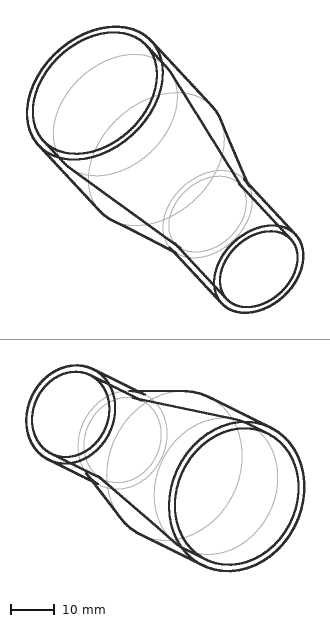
import cadquery as cq

total_length = 80.0
wide_length = 30.0
socket_depth = 10.0
small_length = (total_length - wide_length) / 2

wide_outer_diameter = 35.0
wide_bore_diameter = 32.0
narrow_outer_diameter = 23.0
narrow_bore_diameter = 20.0

taper_start = wide_length
taper_end = total_length - small_length


def stepped_solid(wide_diameter, narrow_diameter, cone_start):
    """Wide cylinder, cone and narrow cylinder, revolved about the X axis."""
    wide_radius = wide_diameter / 2
    narrow_radius = narrow_diameter / 2
    return (
        cq.Workplane("XY")
        .polyline([
            (0, 0),
            (0, wide_radius),
            (cone_start, wide_radius),
            (taper_end, narrow_radius),
            (total_length, narrow_radius),
            (total_length, 0),
        ])
        .close()
        .revolve(360, (0, 0, 0), (1, 0, 0))
    )


body = stepped_solid(wide_outer_diameter, narrow_outer_diameter, taper_start)
bore = stepped_solid(wide_bore_diameter, narrow_bore_diameter, socket_depth)
result = body.cut(bore)